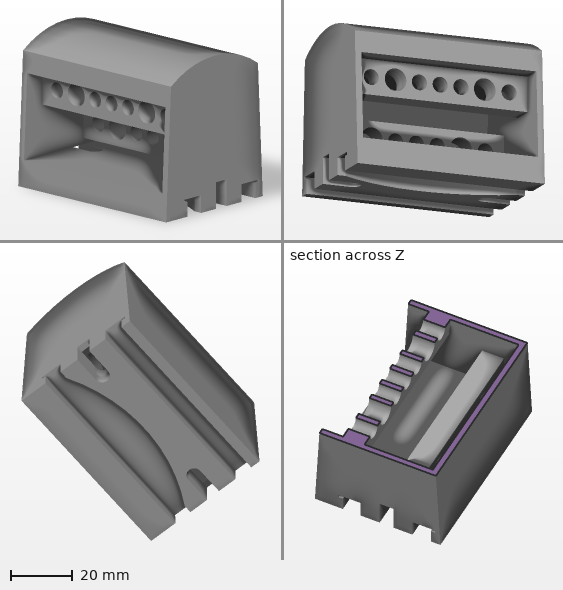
import cadquery as cq

length = 66.0
base_width = 45.5
shoulder_width = 40.9
shoulder_height = 45.1
height = 51.5

side_wall = 2.2
back_wall = 2.25
floor_height = 8.9
ceiling_height = 37.9
cavity_length = length - 2 * side_wall

bar_height = 11.9
bar_depth = 7.9
bar_offset = 9.7
upper_bar_z = ceiling_height - bar_height / 2
lower_bar_z = 16.95
small_hole = 5.3
small_hole_places = (-24.3, -7.3, 0, 7.3, 24.3)
large_hole = 7.6
large_hole_places = (-15.7, 15.7)

channel_height = 5.95
undercut_height = 1.0
back_channel = (12.6, 19.3)
back_undercut_y = 20.7
front_channel = (-12.6, -6.3)
front_undercut_y = -14.1

slot_width = 5.0
slot_y = 3.25
slot_depth = 9.6

bow_end_margin = 2.85
bow_depth = 7.9


def half_width(z):
    """Half of the outer width at height z on the tapered walls."""
    return (base_width + (shoulder_width - base_width) * z / shoulder_height) / 2


def box(length_x, y_range, z_range):
    """A box centred on X between two Y and two Z limits."""
    y_low, y_high = y_range
    z_low, z_high = z_range
    return (
        cq.Workplane("XY", origin=(0, (y_low + y_high) / 2, z_low))
        .rect(length_x, y_high - y_low)
        .extrude(z_high - z_low)
    )


def make_housing():
    return (
        cq.Workplane("YZ", origin=(-length / 2, 0, 0))
        .moveTo(-base_width / 2, 0)
        .lineTo(base_width / 2, 0)
        .lineTo(shoulder_width / 2, shoulder_height)
        .threePointArc((0, height), (-shoulder_width / 2, shoulder_height))
        .close()
        .extrude(length)
    )


def make_cavity():
    """The inner back face runs parallel to the tapered outer back face."""
    return (
        cq.Workplane("YZ", origin=(-cavity_length / 2, 0, 0))
        .moveTo(-base_width / 2, floor_height)
        .lineTo(half_width(floor_height) - back_wall, floor_height)
        .lineTo(half_width(ceiling_height) - back_wall, ceiling_height)
        .lineTo(-base_width / 2, ceiling_height)
        .close()
        .extrude(cavity_length)
    )


def make_bar(y, z):
    """A terminal bar with a row of holes drilled through it along Y."""
    bar = cq.Workplane("XY", origin=(0, y, z)).box(cavity_length, bar_depth, bar_height)
    for diameter, places in ((small_hole, small_hole_places), (large_hole, large_hole_places)):
        drills = (
            cq.Workplane("XZ", origin=(0, y + bar_depth / 2, z))
            .pushPoints([(x, 0) for x in places])
            .circle(diameter / 2)
            .extrude(bar_depth)
        )
        bar = bar.cut(drills)
    return bar


def make_channel(y_range, undercut_range):
    undercut_z = (channel_height - undercut_height, channel_height)
    return box(length, y_range, (0, channel_height)).union(box(length, undercut_range, undercut_z))


def make_bow():
    """The hollow in the channel wall, bounded by one arc along the length."""
    end_x = length / 2 - bow_end_margin
    wall_y = front_channel[1]
    return (
        cq.Workplane("XY")
        .moveTo(-end_x, wall_y)
        .threePointArc((0, wall_y + bow_depth), (end_x, wall_y))
        .close()
        .extrude(channel_height)
    )


def make_screw_slot(side):
    """A round-ended slot through the floor, entering from the end at side -1 or +1."""
    return (
        cq.Workplane("XY", origin=(side * length / 2, slot_y, 0))
        .slot2D(2 * slot_depth + slot_width, slot_width)
        .extrude(floor_height)
    )


result = make_housing().cut(make_cavity())
result = result.cut(make_channel(back_channel, (back_channel[0], back_undercut_y)))
result = result.cut(make_channel(front_channel, (front_undercut_y, front_channel[1])))
result = result.cut(make_bow())
for side in (-1, 1):
    result = result.cut(make_screw_slot(side))
result = result.union(make_bar(-bar_offset, upper_bar_z))
result = result.union(make_bar(bar_offset, lower_bar_z))